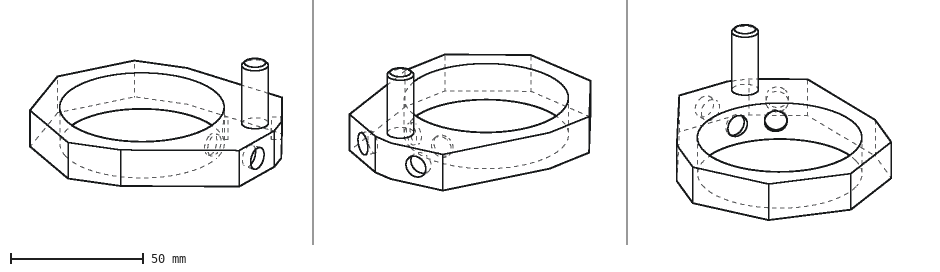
import cadquery as cq
import math

bore_radius = 31.0
overall_length = 93.0
half_width = 78.0 / 2
plate_height = 15.0
nose_reach = overall_length - half_width
nose_half_flat = 4.2
taper_start_x = 4.7
taper_angle = 18.0
octagon_half_side = half_width * math.tan(math.pi / 8)

pin_radius = 5.0
pin_x = 44.9
pin_top = 40.0
pin_chamfer = 1.0

hole_diameter = 8.5
outer_depth = 4.0
hole_offset = 2.0
plug_end = 32.4

slope = math.tan(math.radians(taper_angle))
corner_x = (half_width + slope * taper_start_x - nose_half_flat - nose_reach / slope) / (slope - 1 / slope)
corner_y = half_width - slope * (corner_x - taper_start_x)


def make_plate():
    upper_side = [
        (-half_width, octagon_half_side),
        (-octagon_half_side, half_width),
        (taper_start_x, half_width),
        (corner_x, corner_y),
        (nose_reach, nose_half_flat),
    ]
    lower_side = [(x, -y) for x, y in reversed(upper_side)]
    plate = cq.Workplane("XY").polyline(upper_side + lower_side).close().extrude(plate_height)
    bore = cq.Workplane("XY").circle(bore_radius).extrude(plate_height)
    return plate.cut(bore)


def make_pin():
    pin = cq.Workplane("XY").center(pin_x, 0).circle(pin_radius).extrude(pin_top)
    return pin.faces(">Z").chamfer(pin_chamfer)


def make_cross_hole(side):
    """Space of one hole from a nose face to the bore, less its plug; side is +1 or -1 in Y."""
    angle = math.radians(taper_angle)
    inward = cq.Vector(-math.cos(angle), -side * math.sin(angle), 0)
    sideways = cq.Vector(math.sin(angle), -side * math.cos(angle), 0)
    axis_distance = nose_reach * math.cos(angle) + nose_half_flat * math.sin(angle)
    mouth = sideways * hole_offset - inward * axis_distance + cq.Vector(0, 0, plate_height / 2)
    plug_end_depth = axis_distance - plug_end

    hole = cq.Solid.makeCylinder(hole_diameter / 2, axis_distance, mouth, inward)
    plug = cq.Solid.makeCylinder(
        hole_diameter / 2,
        plug_end_depth - outer_depth,
        mouth + inward * outer_depth,
        inward,
    )
    return cq.Workplane(hole).cut(cq.Workplane(plug))


result = make_plate()
for side in (1, -1):
    result = result.cut(make_cross_hole(side))
result = result.union(make_pin())